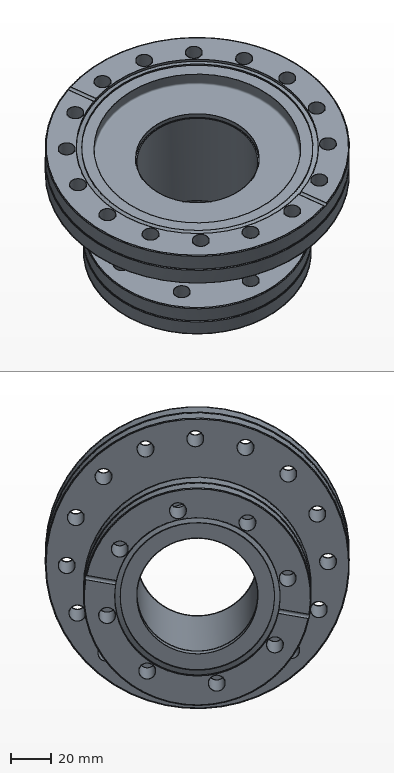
import cadquery as cq

TOTAL_HEIGHT = 76.3
EDGE_CHAMFER = 0.5
RIM_GROOVE_DEPTH = 0.5
BOLT_HOLE_DIAMETER = 8.3
LEAK_GROOVE_WIDTH = 2.3
LEAK_GROOVE_DEPTH = 0.6

KNIFE_TIP_DEPTH = 0.6
KNIFE_ROOT_DEPTH = 1.5
KNIFE_SLOPE_WIDTH = 2.7

UPPER_DIAMETER = 151.6
UPPER_THICKNESS = 20.0
UPPER_GASKET_DIAMETER = 120.7
UPPER_POCKET_DIAMETER = 103.0
UPPER_POCKET_DEPTH = 8.5
UPPER_POCKET_FILLET = 0.9
UPPER_BORE_DIAMETER = 61.5
UPPER_BOLT_CIRCLE = 130.2
UPPER_BOLT_COUNT = 16

TUBE_OUTER_DIAMETER = 63.5
TUBE_INNER_DIAMETER = 60.2
SOCKET_DIAMETER = 63.7
UPPER_LIP_THICKNESS = 2.6

LOWER_DIAMETER = 113.5
LOWER_THICKNESS = 19.0
LOWER_BOLT_CIRCLE = 92.0
LOWER_BOLT_COUNT = 8
RING_GASKET_DIAMETER = 82.5
RING_BORE_DIAMETER = 67.0

INSERT_DIAMETER = 82.3
INSERT_HUB_DIAMETER = 65.3
INSERT_BORE_DIAMETER = 60.3
INSERT_SHOULDER_HEIGHT = 9.1
INSERT_LIP_HEIGHT = 6.0
HUB_RECESS = 3.0

UPPER_BASE = TOTAL_HEIGHT - UPPER_THICKNESS
POCKET_FLOOR = TOTAL_HEIGHT - UPPER_POCKET_DEPTH
TUBE_TOP = POCKET_FLOOR - UPPER_LIP_THICKNESS
TUBE_BOTTOM = INSERT_LIP_HEIGHT


def disc(diameter, bottom, top):
    """Solid cylinder on the Z axis between two heights."""
    return cq.Workplane("XY").workplane(offset=bottom).circle(diameter / 2).extrude(top - bottom)


def revolve_profile(points):
    """Turn a closed (radius, height) outline around the Z axis."""
    return cq.Workplane("XZ").polyline(points).close().revolve(360, (0, 0), (0, 1))


def rim_blank(diameter, bottom, thickness):
    """Flange disc with chamfered edges and a V groove around the middle of its rim."""
    radius = diameter / 2
    middle = bottom + thickness / 2
    v_groove = revolve_profile([
        (radius - RIM_GROOVE_DEPTH, middle),
        (radius + RIM_GROOVE_DEPTH, middle + 2 * RIM_GROOVE_DEPTH),
        (radius + RIM_GROOVE_DEPTH, middle - 2 * RIM_GROOVE_DEPTH),
    ])
    blank = disc(diameter, bottom, bottom + thickness).faces("<Z or >Z").edges().chamfer(EDGE_CHAMFER)
    return blank.cut(v_groove)


def bolt_holes(circle_diameter, count, bottom, thickness):
    """Through holes on a bolt circle, straddling the X and Y axes."""
    return (
        cq.Workplane("XY").workplane(offset=bottom)
        .polarArray(circle_diameter / 2, 180 / count, 360, count)
        .circle(BOLT_HOLE_DIAMETER / 2).extrude(thickness)
    )


def leak_grooves(face_height, into, gasket_diameter, outer_diameter):
    """Two radial grooves along X; `into` is the Z direction from the face into the metal."""
    half_width = LEAK_GROOVE_WIDTH / 2
    radius = (half_width**2 + LEAK_GROOVE_DEPTH**2) / (2 * LEAK_GROOVE_DEPTH)
    axis_height = face_height + into * (LEAK_GROOVE_DEPTH - radius)
    groove_rod = (
        cq.Workplane("YZ").workplane(offset=-outer_diameter / 2)
        .center(0, axis_height).circle(radius).extrude(outer_diameter)
    )
    return groove_rod.cut(disc(gasket_diameter, face_height - 2 * radius, face_height + 2 * radius))


def make_upper_flange():
    gasket_radius = UPPER_GASKET_DIAMETER / 2
    knife_radius = gasket_radius - KNIFE_SLOPE_WIDTH
    root = TOTAL_HEIGHT - KNIFE_ROOT_DEPTH
    gasket_recess = revolve_profile([
        (0, TOTAL_HEIGHT),
        (gasket_radius, TOTAL_HEIGHT),
        (gasket_radius, root),
        (knife_radius, TOTAL_HEIGHT - KNIFE_TIP_DEPTH),
        (knife_radius, root),
        (0, root),
    ])
    pocket = disc(UPPER_POCKET_DIAMETER, POCKET_FLOOR, root).faces("<Z").edges().fillet(UPPER_POCKET_FILLET)
    return (
        rim_blank(UPPER_DIAMETER, UPPER_BASE, UPPER_THICKNESS)
        .cut(gasket_recess)
        .cut(pocket)
        .cut(disc(UPPER_BORE_DIAMETER, TUBE_TOP, POCKET_FLOOR))
        .cut(disc(SOCKET_DIAMETER, UPPER_BASE, TUBE_TOP))
        .cut(bolt_holes(UPPER_BOLT_CIRCLE, UPPER_BOLT_COUNT, UPPER_BASE, UPPER_THICKNESS))
        .cut(leak_grooves(TOTAL_HEIGHT, -1, UPPER_GASKET_DIAMETER, UPPER_DIAMETER))
    )


def make_tube():
    return disc(TUBE_OUTER_DIAMETER, TUBE_BOTTOM, TUBE_TOP).cut(
        disc(TUBE_INNER_DIAMETER, TUBE_BOTTOM, TUBE_TOP)
    )


def make_lower_ring():
    return (
        rim_blank(LOWER_DIAMETER, 0, LOWER_THICKNESS)
        .cut(disc(RING_GASKET_DIAMETER, 0, INSERT_SHOULDER_HEIGHT))
        .cut(disc(RING_BORE_DIAMETER, INSERT_SHOULDER_HEIGHT, LOWER_THICKNESS))
        .cut(bolt_holes(LOWER_BOLT_CIRCLE, LOWER_BOLT_COUNT, 0, LOWER_THICKNESS))
        .cut(leak_grooves(0, 1, RING_GASKET_DIAMETER, LOWER_DIAMETER))
    )


def make_lower_insert():
    """Knife-edge plate with a thin hub that holds the lower end of the tube."""
    plate_radius = INSERT_DIAMETER / 2
    knife_radius = plate_radius - KNIFE_SLOPE_WIDTH
    hub_radius = INSERT_HUB_DIAMETER / 2
    socket_radius = SOCKET_DIAMETER / 2
    bore_radius = INSERT_BORE_DIAMETER / 2
    hub_top = LOWER_THICKNESS - HUB_RECESS
    return revolve_profile([
        (bore_radius, KNIFE_ROOT_DEPTH),
        (knife_radius, KNIFE_ROOT_DEPTH),
        (knife_radius, KNIFE_TIP_DEPTH),
        (plate_radius, KNIFE_ROOT_DEPTH),
        (plate_radius, INSERT_SHOULDER_HEIGHT),
        (hub_radius, INSERT_SHOULDER_HEIGHT),
        (hub_radius, hub_top),
        (socket_radius, hub_top),
        (socket_radius, INSERT_LIP_HEIGHT),
        (bore_radius, INSERT_LIP_HEIGHT),
    ])


upper_flange = make_upper_flange()
tube = make_tube()
lower_ring = make_lower_ring()
lower_insert = make_lower_insert()

result = cq.Compound.makeCompound([
    upper_flange.solids().val(),
    tube.solids().val(),
    lower_ring.solids().val(),
    lower_insert.solids().val(),
])